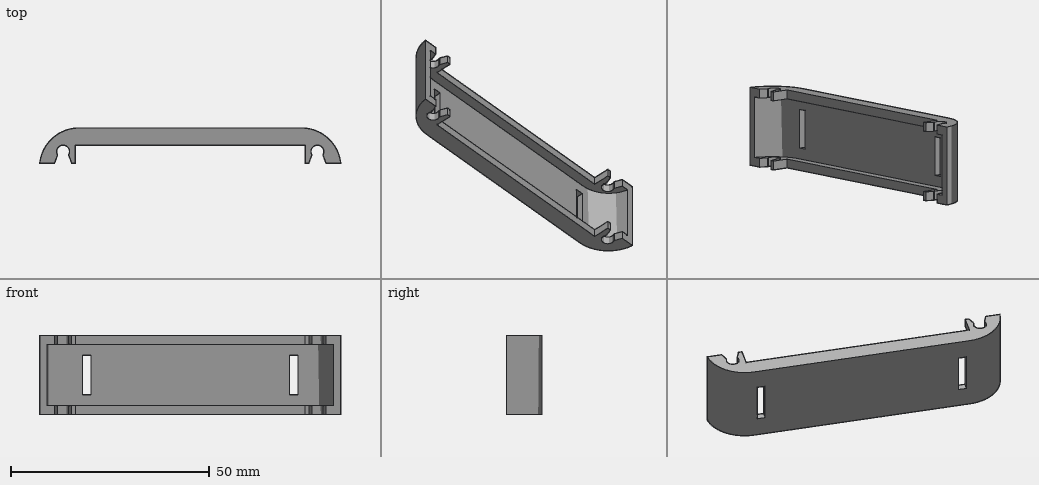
import cadquery as cq
import math

LENGTH = 76.0
DEPTH = 9.0
HEIGHT = 20.0

OUTER_RADIUS = 10.0
END_WALL = 1.8
FRONT_WALL = 1.8
RAIL_THICKNESS = 2.3
POCKET_CURVE_END = 10.65
RAIL_DEPTH = 4.4
POST_INNER_SIDE = 9.05

SOCKET_INSET = 5.9
SOCKET_RADIUS = 1.6
SOCKET_CENTER_HEIGHT = 3.0
NECK_WIDTH = 2.8
NECK_HEIGHT = 2.0
MOUTH_WIDTH = 4.3

SLOT_INSET = 10.9
SLOT_WIDTH = 2.05
SLOT_HEIGHT = 9.9

BACK_Y = -DEPTH / 2
FRONT_Y = DEPTH / 2
HALF_LENGTH = LENGTH / 2


def extrude_centered(outline, height):
    """Extrude an XY outline symmetrically about Z = 0."""
    return outline.extrude(height / 2, both=True)


def arch(half_length, front_y, radius):
    """Outline with a flat front and round ends tangent to it, closed along the open rim."""
    center_y = front_y - radius
    center_x = half_length - math.sqrt(radius**2 - (BACK_Y - center_y) ** 2)
    rim_angle = math.atan2(BACK_Y - center_y, half_length - center_x)
    mid_angle = (rim_angle + math.pi / 2) / 2
    mid_x = center_x + radius * math.cos(mid_angle)
    mid_y = center_y + radius * math.sin(mid_angle)
    return (
        cq.Workplane("XY")
        .moveTo(-half_length, BACK_Y)
        .threePointArc((-mid_x, mid_y), (-center_x, front_y))
        .lineTo(center_x, front_y)
        .threePointArc((mid_x, mid_y), (half_length, BACK_Y))
        .close()
    )


def pocket():
    """Hollow between the rails, with round ends tangent to the flat floor."""
    half_length = HALF_LENGTH - END_WALL
    floor_y = FRONT_Y - FRONT_WALL
    run = POCKET_CURVE_END - END_WALL
    rise = floor_y - BACK_Y
    radius = (run**2 + rise**2) / (2 * rise)
    return extrude_centered(arch(half_length, floor_y, radius), HEIGHT - 2 * RAIL_THICKNESS)


def rail_recess():
    """Opening that makes the rails shallower between the posts."""
    width = LENGTH - 2 * POST_INNER_SIDE
    recess_depth = DEPTH - RAIL_DEPTH
    outline = cq.Workplane("XY").center(0, BACK_Y + recess_depth / 2).rect(width, recess_depth)
    return extrude_centered(outline, HEIGHT)


def socket(center_x):
    """Round snap socket with a narrow neck and a flared mouth."""
    half_neck = NECK_WIDTH / 2
    half_mouth = MOUTH_WIDTH / 2
    neck_top = SOCKET_CENTER_HEIGHT - math.sqrt(SOCKET_RADIUS**2 - half_neck**2)
    outline = (
        cq.Workplane("XY", origin=(center_x, BACK_Y, 0))
        .moveTo(-half_mouth, 0)
        .lineTo(-half_neck, NECK_HEIGHT)
        .lineTo(-half_neck, neck_top)
        .threePointArc((0, SOCKET_CENTER_HEIGHT + SOCKET_RADIUS), (half_neck, neck_top))
        .lineTo(half_neck, NECK_HEIGHT)
        .lineTo(half_mouth, 0)
        .close()
    )
    return extrude_centered(outline, HEIGHT)


def slot(center_x):
    """Rectangular slot through the pocket floor."""
    return cq.Workplane("XY").box(SLOT_WIDTH, DEPTH, SLOT_HEIGHT).translate((center_x, 0, 0))


result = extrude_centered(arch(HALF_LENGTH, FRONT_Y, OUTER_RADIUS), HEIGHT)
result = result.cut(pocket()).cut(rail_recess())
for side in (-1, 1):
    result = result.cut(socket(side * (HALF_LENGTH - SOCKET_INSET)))
    result = result.cut(slot(side * (HALF_LENGTH - SLOT_INSET - SLOT_WIDTH / 2)))